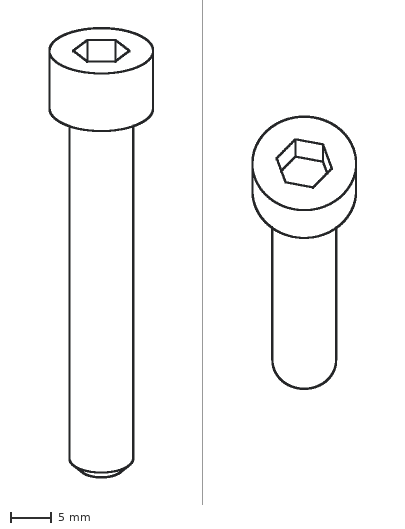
import cadquery as cq
import math

total_length = 58.0
head_diameter = 13.0
head_height = 8.0
shank_diameter = 8.0
tip_chamfer = 1.35

socket_across_flats = 6.1
socket_depth = 5.0


def make_shank():
    """Plain cylinder with a chamfered tip, ending under the head."""
    shank = cq.Workplane("XY").circle(shank_diameter / 2).extrude(total_length - head_height)
    return shank.faces("<Z").chamfer(tip_chamfer)


def make_head():
    """Cylindrical head on top of the shank."""
    under_head = cq.Workplane("XY").workplane(offset=total_length - head_height)
    return under_head.circle(head_diameter / 2).extrude(head_height)


def make_socket():
    """Hexagonal prism to be cut down from the top of the head."""
    across_corners = socket_across_flats / math.cos(math.pi / 6)
    head_top = cq.Workplane("XY").workplane(offset=total_length)
    return head_top.polygon(6, across_corners).extrude(-socket_depth)


result = make_shank().union(make_head()).cut(make_socket())